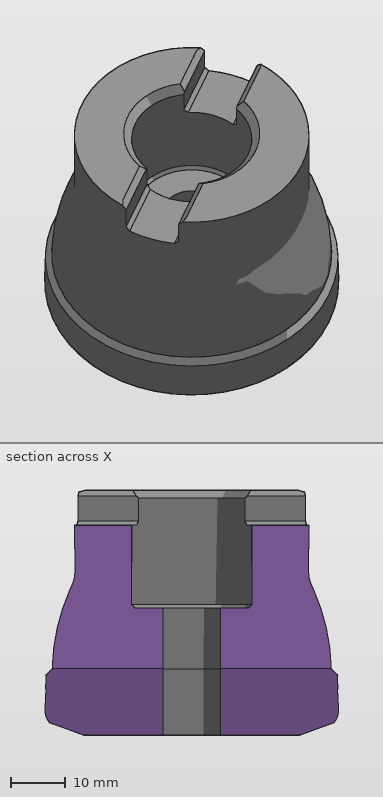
import cadquery as cq

outer_radius = 27.0
total_height = 44.95
joint_height = 12.2
through_hole_diameter = 10.5

neck_radius = 43.0 / 2
skirt_radius = 51.35 / 2
neck_bottom = 29.9
fillet_bottom = 27.55
cone_bottom = 26.65
rim_chamfer_width = 1.0
rim_chamfer_height = 0.3
bore_radius = 22.0 / 2
bore_depth = 21.6
bore_mouth_chamfer = 1.45
bore_floor_chamfer = 0.6

slot_width = 10.25
slot_depth = 6.4
slot_mouth_chamfer = 1.1
slot_floor_chamfer = 0.75

collar_top_radius = 26.85
collar_chamfer = 1.15
widest_height = 4.65
corner_height = 2.25
corner_radius = 26.05
base_radius = 19.85


def revolve_profile(profile):
    """Turn a closed radius-height outline around the Z axis."""
    return profile.close().revolve(360, (0, 0, 0), (0, 1, 0))


def make_holder_blank():
    """Neck blending through a tangent fillet and cone into the convex skirt."""
    fillet_height = neck_bottom - fillet_bottom
    cone_height = fillet_bottom - cone_bottom
    skirt_height = cone_bottom - joint_height

    flare = skirt_radius - neck_radius
    half_slope = flare / (fillet_height + skirt_height + 2 * cone_height)
    cone_top_radius = neck_radius + fillet_height * half_slope
    cone_bottom_radius = cone_top_radius + cone_height * 2 * half_slope

    profile = (
        cq.Workplane("XZ")
        .moveTo(0, joint_height)
        .lineTo(0, total_height)
        .lineTo(neck_radius - rim_chamfer_width, total_height)
        .lineTo(neck_radius, total_height - rim_chamfer_height)
        .lineTo(neck_radius, neck_bottom)
        .tangentArcPoint((cone_top_radius, fillet_bottom), relative=False)
        .lineTo(cone_bottom_radius, cone_bottom)
        .tangentArcPoint((skirt_radius, joint_height), relative=False)
    )
    return revolve_profile(profile)


def make_bore():
    """Stepped hole: chamfered blind bore and the through hole below it."""
    floor = total_height - bore_depth
    hole_radius = through_hole_diameter / 2
    profile = (
        cq.Workplane("XZ")
        .moveTo(0, joint_height)
        .lineTo(hole_radius, joint_height)
        .lineTo(hole_radius, floor)
        .lineTo(bore_radius - bore_floor_chamfer, floor)
        .lineTo(bore_radius, floor + bore_floor_chamfer)
        .lineTo(bore_radius, total_height - bore_mouth_chamfer)
        .lineTo(bore_radius + bore_mouth_chamfer, total_height)
        .lineTo(0, total_height)
    )
    return revolve_profile(profile)


def make_slot():
    """Driving slot with chamfered mouth and floor corners."""
    half_width = slot_width / 2
    floor = total_height - slot_depth
    right_side = [
        (half_width - slot_floor_chamfer, floor),
        (half_width, floor + slot_floor_chamfer),
        (half_width, total_height - slot_mouth_chamfer),
        (half_width + slot_mouth_chamfer, total_height),
    ]
    left_side = [(-x, z) for x, z in reversed(right_side)]
    return cq.Workplane("XZ").polyline(right_side + left_side).close().extrude(outer_radius, both=True)


def make_holder():
    return make_holder_blank().cut(make_bore()).cut(make_slot())


def make_head():
    """Collar with a rounded lower edge, a conical underside and the through hole."""
    hole_radius = through_hole_diameter / 2
    profile = (
        cq.Workplane("XZ")
        .moveTo(hole_radius, 0)
        .lineTo(hole_radius, joint_height)
        .lineTo(collar_top_radius - collar_chamfer, joint_height)
        .lineTo(collar_top_radius, joint_height - collar_chamfer)
        .lineTo(outer_radius, widest_height)
        .tangentArcPoint((corner_radius, corner_height), relative=False)
        .lineTo(base_radius, 0)
    )
    return revolve_profile(profile)


holder = make_holder()
head = make_head()
result = cq.Compound.makeCompound([holder.val(), head.val()])